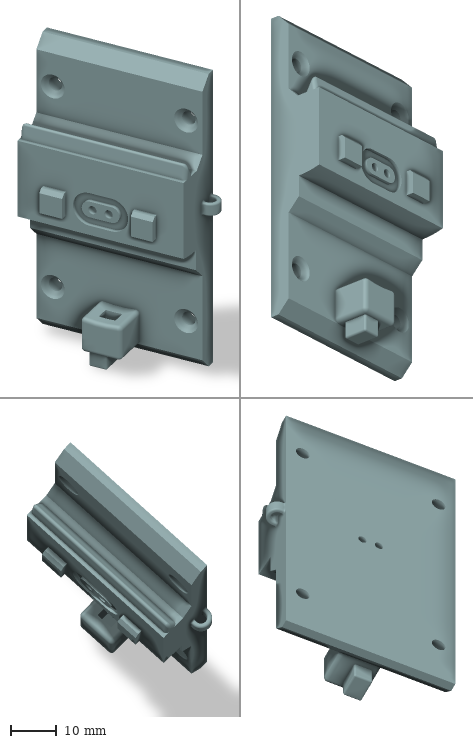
import cadquery as cq
import math


overall_height = 74.3
plate_width = 41.0
plate_height = 73.3
plate_depth = 5.05
bevel = 3.0
body_depth = 14.0
body_top_z = 51.85
body_lip_z = 32.85
top_bevel = 2.7
shelf_depth = plate_depth + bevel
shelf_top_z = 32.1
shelf_bottom_z = 27.05
half_width = plate_width / 2

screw_diameter = 3.3
screw_head_diameter = 5.9
screw_head_angle = 90
screw_spacing_x = 32.9
screw_spacing_z = 50.3
screw_middle_z = 36.9

ridge_back_depth = 9.6
ridge_front_depth = 13.0
ridge_apex_depth = 12.2
ridge_apex_height = 4.5
ridge_tip_fillet = 0.5
ridge_end_fillet = 1.0

pad_bottom_z = 36.3
pad_top_z = 42.2
pad_depth = 1.9
pad_chamfer = 0.9
pad_spans = [(-14.1, -8.5), (8.5, 13.9)]

socket_z = 39.2
groove_length = 13.6
groove_height = 8.2
groove_depth = 1.0
island_length = 9.3
island_height = 3.95
pin_diameter = 2.0
pin_spacing = 4.0

block_width = 10.0
block_bottom_z = bevel
block_top_z = 11.6
block_fillet = 1.0
block_dip = 0.45
window_width = 4.1
window_length = 3.3
window_x = 0.15
window_y = -9.5
window_floor = 1.9
stub_width = 4.45
stub_length = 6.1
stub_x = -1.4
stub_y = -9.6
stub_bottom_z = plate_height - overall_height
stub_fillet = 0.45

loop_reach = 3.3
loop_outer_radius = 2.45
loop_thickness = 1.1
loop_height = 3.1
loop_y = -2.9
loop_middle_z = 41.1
loop_fillet = 0.45
loop_root_fillet = 0.4
loop_x = half_width + loop_reach - loop_outer_radius


def side_profile(x_start):
    """Sketch plane for outlines in (-Y, Z) that are extruded toward +X."""
    return cq.Workplane(cq.Plane(origin=(x_start, 0, 0), xDir=(0, -1, 0), normal=(-1, 0, 0)))


def make_body():
    lip_rise = body_lip_z - shelf_top_z
    lip_run = body_depth - shelf_depth
    radius = (lip_run**2 + lip_rise**2) / (2 * lip_rise)
    half_sweep = math.asin(lip_run / radius) / 2
    arc_middle = (
        shelf_depth + radius * math.sin(half_sweep),
        shelf_top_z + radius * (1 - math.cos(half_sweep)),
    )
    return (
        side_profile(-half_width)
        .moveTo(0, 0)
        .lineTo(plate_depth - bevel, 0)
        .lineTo(plate_depth, bevel)
        .lineTo(plate_depth, shelf_bottom_z - bevel)
        .lineTo(shelf_depth, shelf_bottom_z)
        .lineTo(shelf_depth, shelf_top_z)
        .threePointArc(arc_middle, (body_depth, body_lip_z))
        .lineTo(body_depth, body_top_z)
        .lineTo(plate_depth + top_bevel, body_top_z)
        .lineTo(plate_depth, body_top_z + top_bevel)
        .lineTo(plate_depth, plate_height - bevel)
        .lineTo(plate_depth - bevel, plate_height)
        .lineTo(0, plate_height)
        .close()
        .extrude(-plate_width)
    )


def make_ridge():
    ridge = (
        side_profile(-half_width)
        .moveTo(ridge_back_depth, body_top_z)
        .lineTo(ridge_front_depth, body_top_z)
        .lineTo(ridge_apex_depth, body_top_z + ridge_apex_height)
        .close()
        .extrude(-plate_width)
    )
    ridge = ridge.edges(">Z").fillet(ridge_tip_fillet)
    return ridge.faces("<X or >X").edges("not <Z").fillet(ridge_end_fillet)


def make_pad(x_left, x_right):
    front = body_depth + pad_depth
    return (
        side_profile(x_left)
        .moveTo(body_depth, pad_bottom_z)
        .lineTo(front, pad_bottom_z)
        .lineTo(front, pad_top_z - pad_chamfer)
        .lineTo(front - pad_chamfer, pad_top_z)
        .lineTo(body_depth, pad_top_z)
        .close()
        .extrude(x_left - x_right)
    )


def front_plane(depth, z):
    """Sketch plane facing -Y, at a depth in front of the back of the plate."""
    return cq.Workplane("XZ", origin=(0, -depth, z))


def make_groove():
    plane = front_plane(body_depth, socket_z)
    outer = plane.slot2D(groove_length, groove_height).extrude(-groove_depth)
    island = plane.slot2D(island_length, island_height).extrude(-groove_depth)
    return outer.cut(island)


def make_pin_holes():
    return (
        front_plane(0, socket_z)
        .rarray(pin_spacing, 0.75, 2, 1)
        .circle(pin_diameter / 2)
        .extrude(body_depth)
    )


def make_block():
    half_block = block_width / 2
    dip_radius = (half_block**2 + block_dip**2) / (2 * block_dip)
    block = (
        front_plane(0, 0)
        .moveTo(-half_block, block_bottom_z)
        .lineTo(half_block, block_bottom_z)
        .lineTo(half_block, block_top_z)
        .radiusArc((-half_block, block_top_z), dip_radius)
        .close()
        .extrude(body_depth - plate_depth)
        .translate((0, -plate_depth, 0))
    )
    return block.edges("not >Y").fillet(block_fillet)


def make_stub():
    height = block_bottom_z - stub_bottom_z
    return (
        cq.Workplane("XY", origin=(stub_x, stub_y, stub_bottom_z))
        .rect(stub_width, stub_length)
        .extrude(height)
        .edges("|Z or <Z")
        .fillet(stub_fillet)
    )


def make_window():
    return (
        cq.Workplane("XY", origin=(window_x, window_y, block_bottom_z + window_floor))
        .rect(window_width, window_length)
        .extrude(block_top_z - block_bottom_z)
    )


def make_loop():
    inner_radius = loop_outer_radius - loop_thickness
    run_in = loop_x - half_width
    sketch = cq.Workplane("XY", origin=(loop_x, loop_y, loop_middle_z - loop_height / 2))

    def u_shape(radius):
        return (
            sketch.moveTo(-run_in, -radius)
            .lineTo(0, -radius)
            .threePointArc((radius, 0), (0, radius))
            .lineTo(-run_in, radius)
            .close()
            .extrude(loop_height)
        )

    loop = u_shape(loop_outer_radius).cut(u_shape(inner_radius))
    return loop.faces("|Z").edges("not <X").fillet(loop_fillet)


def loop_root():
    """Selector for the edges where the loop meets the +X side of the plate."""
    margin = 0.1
    reach_y = loop_outer_radius + margin
    reach_z = loop_height / 2 + margin
    return cq.selectors.BoxSelector(
        (half_width - margin, loop_y - reach_y, loop_middle_z - reach_z),
        (half_width + margin, loop_y + reach_y, loop_middle_z + reach_z),
    )


result = make_body().union(make_loop())
result = result.edges(loop_root()).fillet(loop_root_fillet)
result = result.union(make_ridge())
for x_left, x_right in pad_spans:
    result = result.union(make_pad(x_left, x_right))
result = result.union(make_block()).union(make_stub())
result = result.cut(make_groove()).cut(make_pin_holes()).cut(make_window())
result = (
    result.copyWorkplane(front_plane(plate_depth, screw_middle_z))
    .rarray(screw_spacing_x, screw_spacing_z, 2, 2)
    .cskHole(screw_diameter, screw_head_diameter, screw_head_angle)
)